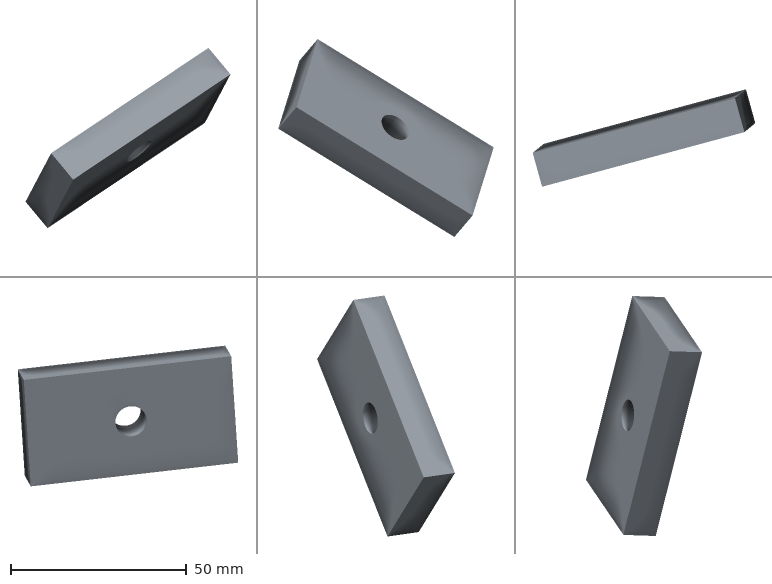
import cadquery as cq

length = 60.0
width = 32.0
thickness = 10.0
tilt_angle = 20.0

hole_diameter = 9.0

upright_plate = (
    cq.Workplane("XY")
    .box(thickness, length, width)
    .faces("<X")
    .workplane(centerOption="CenterOfBoundBox")
    .hole(hole_diameter)
)

result = upright_plate.rotate((0, 0, 0), (0, 1, 0), tilt_angle)